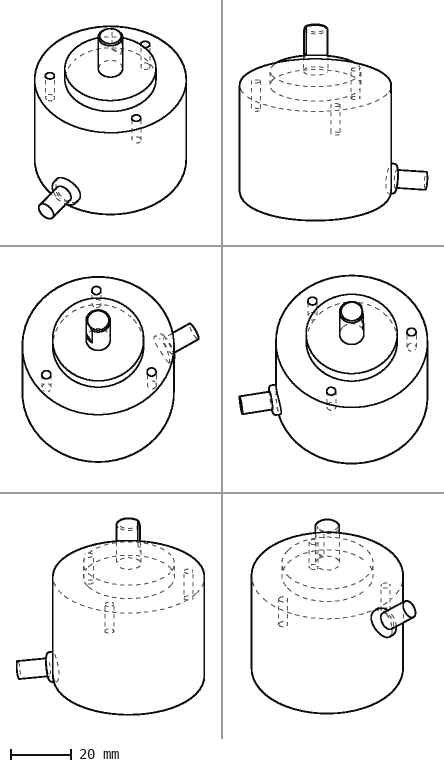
import cadquery as cq

body_diameter = 50.0
body_height = 39.0
base_fillet = 2.0

boss_diameter = 30.0
boss_height = 5.0

shaft_diameter = 8.0
shaft_length = 15.0
shaft_chamfer = 0.5
flat_depth = 0.5
flat_start_above_boss = 5.0

hole_count = 3
hole_diameter = 3.0
hole_circle_diameter = 40.0
hole_depth = 10.0
first_hole_angle = 90

longest_side = 62
cable_diameter = 6.0
cable_height = 8.0
grommet_diameter = 10.0
grommet_projection = 2.0
grommet_fillet = 1.0

body_radius = body_diameter / 2
boss_top = body_height + boss_height
shaft_top = boss_top + shaft_length
cable_reach = longest_side - body_radius
grommet_reach = body_radius + grommet_projection


def vertical_cylinder(diameter, bottom, height):
    return cq.Workplane("XY").workplane(offset=bottom).circle(diameter / 2).extrude(height)


def outlet_cylinder(diameter, reach):
    """Cylinder from the housing axis out to Y = -reach, at the cable height."""
    return cq.Workplane("XZ").center(0, cable_height).circle(diameter / 2).extrude(reach)


def make_housing():
    body = vertical_cylinder(body_diameter, 0, body_height).faces("<Z").edges().fillet(base_fillet)
    boss = vertical_cylinder(boss_diameter, body_height, boss_height)
    return body.union(boss)


def make_shaft():
    shaft = vertical_cylinder(shaft_diameter, boss_top, shaft_length)
    shaft = shaft.faces(">Z").edges().chamfer(shaft_chamfer)
    flat_bottom = boss_top + flat_start_above_boss
    flat_cut = cq.Workplane("XY").box(
        shaft_diameter, flat_depth, shaft_top - flat_bottom, centered=(True, False, False)
    ).translate((0, shaft_diameter / 2 - flat_depth, flat_bottom))
    return shaft.cut(flat_cut)


def make_cable_outlet():
    grommet = outlet_cylinder(grommet_diameter, grommet_reach)
    grommet = grommet.faces("<Y").edges().fillet(grommet_fillet)
    return grommet.union(outlet_cylinder(cable_diameter, cable_reach))


def make_mounting_holes():
    return (
        cq.Workplane("XY")
        .workplane(offset=body_height - hole_depth)
        .polarArray(hole_circle_diameter / 2, first_hole_angle, 360, hole_count)
        .circle(hole_diameter / 2)
        .extrude(hole_depth)
    )


result = make_housing().union(make_shaft()).union(make_cable_outlet()).cut(make_mounting_holes())